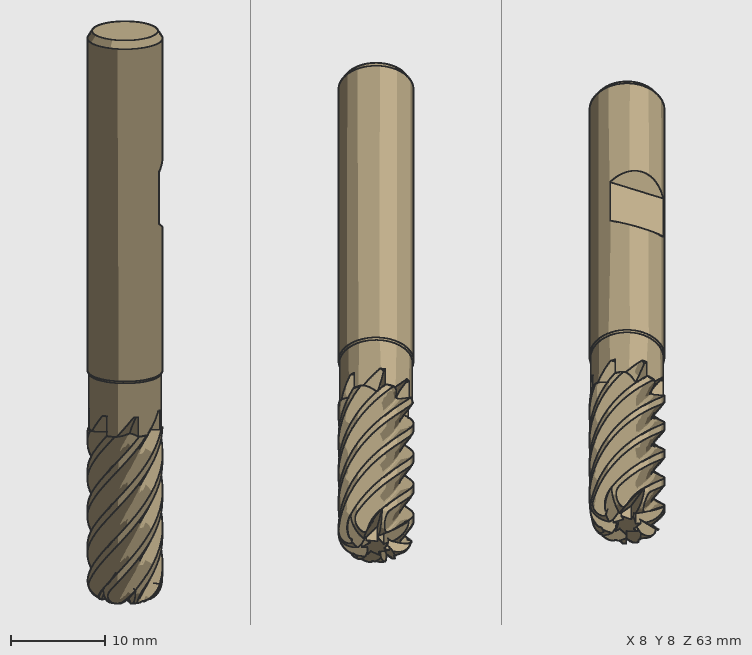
import cadquery as cq
import math

TOTAL_LENGTH = 63.0
SHANK_RADIUS = 4.0
CUTTING_LENGTH = 19.0

NECK_RADIUS = 3.875
NECK_TOP = 25.0
NECK_CONE_HEIGHT = 0.25
TOP_CHAMFER_HEIGHT = 0.8
TOP_CHAMFER_WIDTH = 0.5
FLAT_TOP = 47.8
FLAT_BOTTOM = 42.1
FLAT_DEPTH = 1.45
FLAT_LOWER_RUN = 1.25

FLUTE_COUNT = 7
HELIX_ANGLE = 41.0
FLUTE_PITCH = 360.0 / FLUTE_COUNT
LEAD = 2 * math.pi * SHANK_RADIUS / math.tan(math.radians(HELIX_ANGLE))
EDGE_ANGLE_AT_TOP = -106.0
EDGE_ANGLE_AT_END = EDGE_ANGLE_AT_TOP - 360.0 * CUTTING_LENGTH / LEAD

FLUTE_CURVE = [
    (4.15, 2.0),
    (3.875, 16.0),
    (3.0, 30.0),
    (2.65, 39.0),
    (2.95, 47.0),
]
FLUTE_OUTER_RADIUS = 5.05
FLUTE_FACE_ANGLE = FLUTE_PITCH + 2.0
FLUTE_BACK_ANGLE = 20.0
FLUTE_OVERRUN = 0.6

CORNER_RADIUS = 2.0
GASH_HEIGHT = 2.0
GASH_WIDTH = 1.5
GASH_INNER_RADIUS = 0.95

RUNOUT_HEIGHT = 2.15


def twist_over(height):
    """Angle in degrees that the helix turns through over a height."""
    return 360.0 * height / LEAD


def polar(radius, angle):
    """Point in the XY plane at a radius and an angle in degrees."""
    return (radius * math.cos(math.radians(angle)), radius * math.sin(math.radians(angle)))


def flute_section(edge_angle):
    """Closed section of one flute, opened outward past the cutter surface."""
    curve = [polar(radius, edge_angle + angle) for radius, angle in FLUTE_CURVE]
    return (
        cq.Workplane("XY")
        .spline(curve)
        .lineTo(*polar(FLUTE_OUTER_RADIUS, edge_angle + FLUTE_FACE_ANGLE))
        .lineTo(*polar(FLUTE_OUTER_RADIUS, edge_angle + FLUTE_BACK_ANGLE))
        .close()
    )


def helical_flute(edge_angle, height):
    """One flute, starting at Z = 0 and twisting upward."""
    return flute_section(edge_angle).twistExtrude(height, twist_over(height))


def repeat_cut(body, cutter):
    """Cut a cutter into a body once per flute."""
    for index in range(FLUTE_COUNT):
        body = body.cut(cutter.rotate((0, 0, 0), (0, 0, 1), index * FLUTE_PITCH))
    return body


def end_gash():
    """Wedge cut across the end face in front of one cutting edge."""
    return (
        cq.Workplane("YZ")
        .polyline([(0, 0), (-GASH_WIDTH, 0), (0, GASH_HEIGHT)])
        .close()
        .extrude(SHANK_RADIUS)
        .translate((GASH_INNER_RADIUS, 0, 0))
        .rotate((0, 0, 0), (0, 0, 1), EDGE_ANGLE_AT_END + twist_over(GASH_HEIGHT))
    )


def make_cutting_body():
    body = cq.Workplane("XY").circle(SHANK_RADIUS).extrude(CUTTING_LENGTH)
    body = body.faces("<Z").edges().fillet(CORNER_RADIUS)
    flute_height = CUTTING_LENGTH + 2 * FLUTE_OVERRUN
    flute_start_angle = EDGE_ANGLE_AT_END - twist_over(FLUTE_OVERRUN)
    flute = helical_flute(flute_start_angle, flute_height).translate((0, 0, -FLUTE_OVERRUN))
    body = repeat_cut(body, flute)
    return repeat_cut(body, end_gash())


def flute_runout():
    """Run-out of one flute: helical on its heel side and straight on its face side."""
    helical = helical_flute(EDGE_ANGLE_AT_TOP, RUNOUT_HEIGHT)
    straight = flute_section(EDGE_ANGLE_AT_TOP).extrude(RUNOUT_HEIGHT)
    return helical.intersect(straight).translate((0, 0, CUTTING_LENGTH))


def clamping_flat():
    """Flat with sloped ends, cut into the +Y side of the shank."""
    flat_y = SHANK_RADIUS - FLAT_DEPTH
    return (
        cq.Workplane("YZ")
        .polyline([
            (flat_y, FLAT_BOTTOM),
            (SHANK_RADIUS, FLAT_BOTTOM - FLAT_LOWER_RUN),
            (SHANK_RADIUS, FLAT_TOP + FLAT_DEPTH),
            (flat_y, FLAT_TOP),
        ])
        .close()
        .extrude(SHANK_RADIUS, both=True)
    )


def make_shank():
    profile = [
        (0, CUTTING_LENGTH),
        (NECK_RADIUS, CUTTING_LENGTH),
        (NECK_RADIUS, NECK_TOP),
        (SHANK_RADIUS, NECK_TOP + NECK_CONE_HEIGHT),
        (SHANK_RADIUS, TOTAL_LENGTH - TOP_CHAMFER_HEIGHT),
        (SHANK_RADIUS - TOP_CHAMFER_WIDTH, TOTAL_LENGTH),
        (0, TOTAL_LENGTH),
    ]
    body = cq.Workplane("XZ").polyline(profile).close().revolve(360, (0, 0, 0), (0, 1, 0))
    body = body.cut(clamping_flat())
    return repeat_cut(body, flute_runout())


cutting_body = make_cutting_body()
shank = make_shank()
result = cq.Compound.makeCompound([cutting_body.val(), shank.val()])